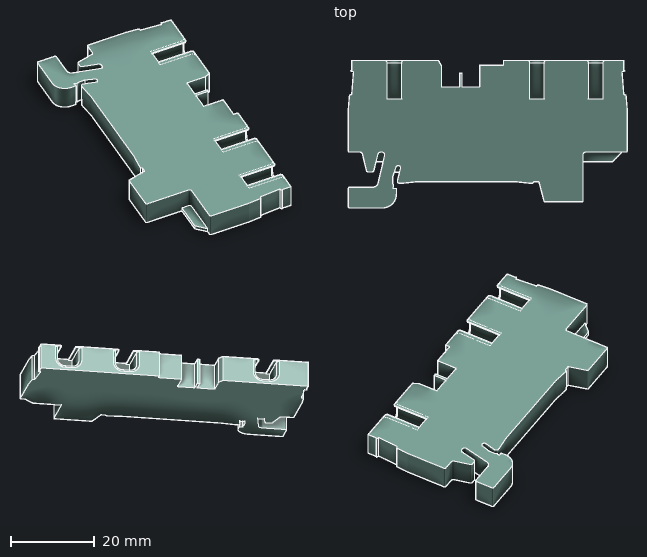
import cadquery as cq
import math

LENGTH = 66.5
HEIGHT = 35.2
THICKNESS = 6.1

SHOULDER_Y = 13.3
RAIL_Y = 6.25
OVERLAP = 0.65

DRAFT_START_Y = 23.7
STEP_Y = 26.9
STEP_INSET = 0.25
NECK_BOTTOM_INSET = 0.8
NECK_RISE = 0.1
NECK_TOP_Y = 32.2
NECK_LEDGE_Y = 32.45
NECK_TOP_INSET = 1.2
END_LIP_Y = 32.65
END_LIP_INSET = 0.6
END_LIP_HEIGHT = 0.25
CROWN_INSET = 0.8
SHOULDER_RADIUS = 0.3

WINDOW_LEFT = 22.3
WINDOW_RIGHT = 31.3
WINDOW_FLOOR_Y = 28.85
WINDOW_BEVEL_X = 0.7
WINDOW_BEVEL_Y = 1.4
LOW_STEP_Y = 34.05
LOW_STEP_RIGHT = 37.0
PIN_LEFT = 26.55
PIN_WIDTH = 0.6
PIN_TOP_Y = 32.1

GROOVE_CENTRES = (11.0, 44.95, 59.0)
GROOVE_END_Y = 26.0
LIP_GAP = 3.45
LIP_THICKNESS = 0.25
LIP_MOUTH_CHAMFER = 0.3
CHANNEL_WIDTH = 5.2
CHANNEL_FLOOR_Z = 1.2
CHANNEL_CORNER_RADIUS = 1.65
CHANNEL_MOUTH_CHAMFER = 0.6

LEAN = math.tan(math.radians(13.5))

LOBE_TIP_Y = 8.6
LOBE_TIP_LEFT = 4.4
LOBE_TIP_RIGHT = 6.05
LOBE_ROOT_RADIUS = 0.6
LOBE_TIP_RADIUS = 0.45

TOE_TOP_Y = 5.0
LEG_LEFT = 6.85
LEG_TOE_RADIUS = 1.25
LEG_RIGHT = 10.65
LEG_BEND_Y = 7.5
HEEL_TOP_Y = 4.65
HEEL_RIGHT = 11.5
HEEL_START_Y = 3.25
HEEL_MID = (10.85, 1.3)
HEEL_BOTTOM_X = 8.5
NOTCH_TOP_Y = 5.9
NOTCH_NUB = 0.2
TOE_RADIUS = 0.3

OUTER_SLOT_RADIUS = 0.6
INNER_SLOT_TOP_Y = 10.1
INNER_SLOT_RIGHT = 12.65
INNER_SLOT_WIDTH = 1.1
INNER_SLOT_RADIUS = 0.5

PAD_DROP = 0.4
LEFT_PAD_TIP_X = 11.5
LEFT_PAD_FLAT_END = 12.85
LEFT_PAD_END = 16.5
LEFT_PAD_RADIUS = 0.6
RIGHT_PAD_START = 39.8
RIGHT_PAD_TIP_X = 43.5
RIGHT_PAD_TIP_WIDTH = 0.45
RIGHT_PAD_END = 44.3

FOOT_TOP_LEFT = 45.4
FOOT_BOTTOM_LEFT = 46.7
FOOT_RIGHT = 56.0
FOOT_BOTTOM_Y = 1.45
FOOT_INNER_RADIUS = 0.5
FOOT_EDGE_RADIUS = 0.25

SKIRT_THICKNESS = 1.0
SKIRT_Y = 11.0
SKIRT_END_BOTTOM = 63.0
SKIRT_END_TOP = 65.25
INNER_SKIRT_Y = 8.5


def prism(points, height=THICKNESS):
    """Extrude a closed polygon upward from the lower face."""
    return cq.Workplane("XY").polyline(points).close().extrude(height)


def block(x_min, x_max, y_min, y_max, height=THICKNESS):
    """Axis-aligned block standing on the lower face."""
    size = (x_max - x_min, y_max - y_min, height)
    return cq.Workplane("XY").box(*size, centered=False).translate((x_min, y_min, 0))


def round_corners(solid, corners, radius):
    """Fillet the upright edges that stand on the given XY corners."""
    for x, y in corners:
        nearest = cq.selectors.NearestToPointSelector((x, y, THICKNESS / 2))
        solid = solid.edges("|Z").edges(nearest).fillet(radius)
    return solid


def make_head():
    """Upper block whose two ends share one stepped outline."""
    end_profile = [
        (0, SHOULDER_Y),
        (0, DRAFT_START_Y),
        (STEP_INSET, STEP_Y),
        (NECK_BOTTOM_INSET, STEP_Y + NECK_RISE),
        (NECK_TOP_INSET, NECK_TOP_Y),
        (NECK_TOP_INSET, NECK_LEDGE_Y),
        (END_LIP_INSET, END_LIP_Y),
        (CROWN_INSET, END_LIP_Y + END_LIP_HEIGHT),
        (CROWN_INSET, HEIGHT),
    ]
    right_end = [(LENGTH - inset, y) for inset, y in reversed(end_profile)]
    head = prism(end_profile + right_end)
    return round_corners(head, [(0, SHOULDER_Y), (LENGTH, SHOULDER_Y)], SHOULDER_RADIUS)


def cut_window(head):
    """Open the window and the low step, then add the pin."""
    head = head.cut(prism([
        (WINDOW_LEFT, WINDOW_FLOOR_Y),
        (WINDOW_RIGHT, WINDOW_FLOOR_Y),
        (WINDOW_RIGHT, LOW_STEP_Y),
        (LOW_STEP_RIGHT, LOW_STEP_Y),
        (LOW_STEP_RIGHT, HEIGHT),
        (WINDOW_LEFT - WINDOW_BEVEL_X, HEIGHT),
        (WINDOW_LEFT, HEIGHT - WINDOW_BEVEL_Y),
    ]))
    pin = block(PIN_LEFT, PIN_LEFT + PIN_WIDTH, WINDOW_FLOOR_Y - OVERLAP, PIN_TOP_Y)
    return head.union(pin)


def flared_cutter(solid, chamfer):
    """Widen a cutter at 45 degrees where it leaves the top edge of the part."""
    mouth = (
        solid.faces(">Y").wires().toPending()
        .workplane().extrude(chamfer, taper=-45, combine=False)
        .translate((0, -chamfer, 0))
    )
    return solid.union(mouth)


def make_groove(centre_x):
    """Cutter for one wire groove: a round-cornered channel below a narrower gap."""
    lip_z = THICKNESS - LIP_THICKNESS
    channel = (
        block(-CHANNEL_WIDTH / 2, CHANNEL_WIDTH / 2, GROOVE_END_Y, HEIGHT, lip_z - CHANNEL_FLOOR_Z)
        .edges("|Y and <Z").fillet(CHANNEL_CORNER_RADIUS)
    )
    gap = block(-LIP_GAP / 2, LIP_GAP / 2, GROOVE_END_Y, HEIGHT, LIP_THICKNESS)
    channel = (
        flared_cutter(channel, CHANNEL_MOUTH_CHAMFER)
        .translate((centre_x, 0, CHANNEL_FLOOR_Z))
        .intersect(block(0, LENGTH, 0, HEIGHT, lip_z))
    )
    gap = (
        flared_cutter(gap, LIP_MOUTH_CHAMFER)
        .translate((centre_x, 0, lip_z))
    )
    return channel.union(gap)


def make_underside():
    """Lobe, spring foot, seat face and fixed foot, as one outline below the head."""
    top_y = SHOULDER_Y + OVERLAP
    lobe_root_left = LOBE_TIP_LEFT - LEAN * (SHOULDER_Y - LOBE_TIP_Y)
    lobe_root_right = LOBE_TIP_RIGHT + LEAN * (SHOULDER_Y - LOBE_TIP_Y)
    leg_root_left = LEG_LEFT + LEAN * (SHOULDER_Y - TOE_TOP_Y)
    inner_slot_top_left = INNER_SLOT_RIGHT - INNER_SLOT_WIDTH
    foot_root_right = FOOT_RIGHT + 2 * FOOT_INNER_RADIUS
    pad_y = RAIL_Y - PAD_DROP

    underside = (
        cq.Workplane("XY")
        .moveTo(0, 0)
        .lineTo(0, TOE_TOP_Y)
        .lineTo(LEG_LEFT, TOE_TOP_Y)
        .lineTo(leg_root_left, SHOULDER_Y)
        .lineTo(lobe_root_right, SHOULDER_Y)
        .lineTo(LOBE_TIP_RIGHT, LOBE_TIP_Y)
        .lineTo(LOBE_TIP_LEFT, LOBE_TIP_Y)
        .lineTo(lobe_root_left, SHOULDER_Y)
        .lineTo(OVERLAP, SHOULDER_Y)
        .lineTo(OVERLAP, top_y)
        .lineTo(foot_root_right, top_y)
        .lineTo(foot_root_right, SHOULDER_Y)
        .lineTo(FOOT_RIGHT, SHOULDER_Y)
        .lineTo(FOOT_RIGHT, FOOT_BOTTOM_Y)
        .lineTo(FOOT_BOTTOM_LEFT, FOOT_BOTTOM_Y)
        .lineTo(FOOT_TOP_LEFT, RAIL_Y)
        .lineTo(RIGHT_PAD_END, RAIL_Y)
        .lineTo(RIGHT_PAD_TIP_X + RIGHT_PAD_TIP_WIDTH, pad_y)
        .lineTo(RIGHT_PAD_TIP_X, pad_y)
        .lineTo(RIGHT_PAD_START, RAIL_Y)
        .lineTo(LEFT_PAD_END, RAIL_Y)
        .lineTo(LEFT_PAD_FLAT_END, pad_y)
        .lineTo(LEFT_PAD_TIP_X, pad_y)
        .lineTo(INNER_SLOT_RIGHT, INNER_SLOT_TOP_Y)
        .lineTo(inner_slot_top_left, INNER_SLOT_TOP_Y)
        .lineTo(LEG_RIGHT, LEG_BEND_Y)
        .lineTo(LEG_RIGHT, NOTCH_TOP_Y)
        .lineTo(LEG_RIGHT + NOTCH_NUB, (NOTCH_TOP_Y + HEEL_TOP_Y) / 2)
        .lineTo(LEG_RIGHT, HEEL_TOP_Y)
        .lineTo(HEEL_RIGHT, HEEL_TOP_Y)
        .lineTo(HEEL_RIGHT, HEEL_START_Y)
        .threePointArc(HEEL_MID, (HEEL_BOTTOM_X, 0))
        .close()
        .extrude(THICKNESS)
    )
    rounded = [
        ([(0, 0), (0, TOE_TOP_Y)], TOE_RADIUS),
        ([(LEG_LEFT, TOE_TOP_Y)], LEG_TOE_RADIUS),
        ([(leg_root_left, SHOULDER_Y), (lobe_root_right, SHOULDER_Y)], OUTER_SLOT_RADIUS),
        ([(LOBE_TIP_RIGHT, LOBE_TIP_Y), (LOBE_TIP_LEFT, LOBE_TIP_Y)], LOBE_TIP_RADIUS),
        ([(lobe_root_left, SHOULDER_Y)], LOBE_ROOT_RADIUS),
        ([(FOOT_RIGHT, SHOULDER_Y)], FOOT_INNER_RADIUS),
        ([(FOOT_RIGHT, FOOT_BOTTOM_Y), (FOOT_BOTTOM_LEFT, FOOT_BOTTOM_Y)], FOOT_EDGE_RADIUS),
        ([(LEFT_PAD_TIP_X, pad_y)], LEFT_PAD_RADIUS),
        ([(INNER_SLOT_RIGHT, INNER_SLOT_TOP_Y)], INNER_SLOT_RADIUS),
        ([(inner_slot_top_left, INNER_SLOT_TOP_Y)], INNER_SLOT_RADIUS),
    ]
    for corners, radius in rounded:
        underside = round_corners(underside, corners, radius)
    return underside


def make_skirts():
    """Thin skirts that close the slot ends and run along the right overhang."""
    overhang_skirt = prism([
        (FOOT_RIGHT - OVERLAP, SHOULDER_Y + OVERLAP),
        (FOOT_RIGHT - OVERLAP, SKIRT_Y),
        (SKIRT_END_BOTTOM, SKIRT_Y),
        (SKIRT_END_TOP, SHOULDER_Y),
        (SKIRT_END_TOP, SHOULDER_Y + OVERLAP),
    ], SKIRT_THICKNESS)
    outer_slot_skirt = block(
        LOBE_TIP_RIGHT, LEG_RIGHT - OVERLAP, SKIRT_Y, SHOULDER_Y + OVERLAP, SKIRT_THICKNESS
    )
    inner_slot_skirt = block(
        LEG_RIGHT, INNER_SLOT_RIGHT + OVERLAP, INNER_SKIRT_Y, INNER_SLOT_TOP_Y + OVERLAP, SKIRT_THICKNESS
    )
    return overhang_skirt.union(outer_slot_skirt).union(inner_slot_skirt)


result = cut_window(make_head()).union(make_underside()).union(make_skirts())
for groove_x in GROOVE_CENTRES:
    result = result.cut(make_groove(groove_x))